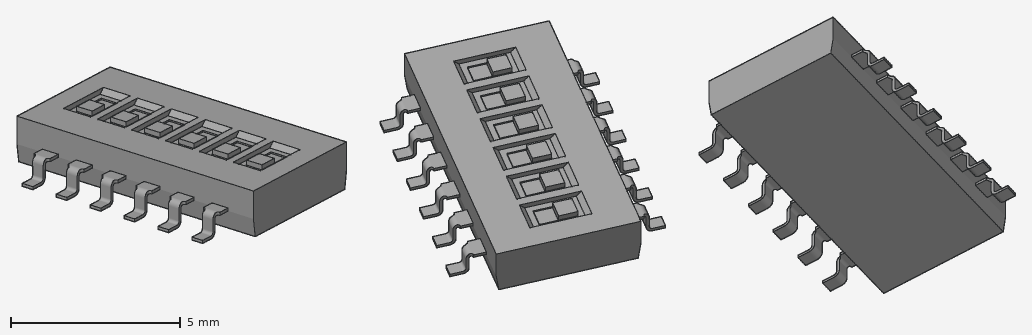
import cadquery as cq

body_length = 8.85
body_width = 4.5
body_bottom_width = 4.33
top_z = 1.6
bottom_z = 0.09
seam_z = 0.69

switch_count = 6
pitch = 1.27
switch_xs = [(i - (switch_count - 1) / 2) * pitch for i in range(switch_count)]

window_length_x = 1.0
window_top_y = 1.93
window_depth = 0.165
window_floor_y = window_top_y - 2 * window_depth

slot_length_x = 0.6
slot_length_y = 1.2
slot_depth = 0.05
actuator_side_gap = 0.01
actuator_height = window_depth

lead_span = 6.7
lead_thickness = 0.1
lead_width = 0.4
shoulder_width = 0.6
shoulder_end_y = 2.65
shoulder_corner_radius = (shoulder_width - lead_width) / 2
shoulder_top_z = 0.79
bend_inner_radius = 0.1
bend_outer_radius = bend_inner_radius + lead_thickness
lead_embed = 0.2

window_floor_z = top_z - window_depth
slot_floor_z = window_floor_z - slot_depth


def make_housing():
    """Block with vertical ends whose long sides draw in below the seam."""
    outline = [
        (-body_bottom_width / 2, bottom_z),
        (body_bottom_width / 2, bottom_z),
        (body_width / 2, seam_z),
        (body_width / 2, top_z),
        (-body_width / 2, top_z),
        (-body_width / 2, seam_z),
    ]
    return cq.Workplane("YZ").polyline(outline).close().extrude(body_length / 2, both=True)


def make_window_cutter(x):
    """Recess with upright sides and end walls sloping in to the floor."""
    outline = [
        (-window_floor_y / 2, window_floor_z),
        (window_floor_y / 2, window_floor_z),
        (window_top_y / 2, top_z),
        (-window_top_y / 2, top_z),
    ]
    cutter = cq.Workplane("YZ").polyline(outline).close().extrude(window_length_x / 2, both=True)
    return cutter.translate((x, 0, 0))


def make_slot_cutter(x):
    slot = cq.Workplane("XY").box(slot_length_x, slot_length_y, slot_depth, centered=(True, True, False))
    return slot.translate((x, 0, slot_floor_z))


def make_actuator(x):
    """Slider block filling the -Y half of its slot and standing above the window floor."""
    width = slot_length_x - 2 * actuator_side_gap
    length = slot_length_y / 2
    height = slot_depth + actuator_height
    block = cq.Workplane("XY").box(width, length, height, centered=(True, True, False))
    return block.translate((x, -length / 2, slot_floor_z))


def make_lead_strip():
    """Z-bent strip on the +Y side, as wide as the shoulder, before its plan trim."""
    start_y = body_width / 2 - lead_embed
    shank_outer_y = shoulder_end_y + bend_outer_radius
    shank_inner_y = shank_outer_y - lead_thickness
    toe_y = lead_span / 2
    shoulder_bottom_z = shoulder_top_z - lead_thickness
    upper_bend_z = shoulder_bottom_z - bend_inner_radius
    lower_bend_z = lead_thickness + bend_inner_radius
    foot_start_y = shank_outer_y + bend_inner_radius
    profile = (
        cq.Workplane("YZ")
        .moveTo(start_y, shoulder_top_z)
        .lineTo(shoulder_end_y, shoulder_top_z)
        .radiusArc((shank_outer_y, upper_bend_z), bend_outer_radius)
        .lineTo(shank_outer_y, lower_bend_z)
        .radiusArc((foot_start_y, lead_thickness), -bend_inner_radius)
        .lineTo(toe_y, lead_thickness)
        .lineTo(toe_y, 0)
        .lineTo(foot_start_y, 0)
        .radiusArc((shank_inner_y, lower_bend_z), bend_outer_radius)
        .lineTo(shank_inner_y, upper_bend_z)
        .radiusArc((shoulder_end_y, shoulder_bottom_z), -bend_inner_radius)
        .lineTo(start_y, shoulder_bottom_z)
        .close()
    )
    return profile.extrude(shoulder_width / 2, both=True)


def make_lead():
    """Strip trimmed to a wide shoulder and a narrow shank and foot, joined by fillets."""
    half_lead = lead_width / 2
    half_shoulder = shoulder_width / 2
    fillet_end_y = shoulder_end_y + shoulder_corner_radius
    plan = (
        cq.Workplane("XY")
        .moveTo(-half_shoulder, 0)
        .lineTo(half_shoulder, 0)
        .lineTo(half_shoulder, shoulder_end_y)
        .radiusArc((half_lead, fillet_end_y), shoulder_corner_radius)
        .lineTo(half_lead, lead_span)
        .lineTo(-half_lead, lead_span)
        .lineTo(-half_lead, fillet_end_y)
        .radiusArc((-half_shoulder, shoulder_end_y), shoulder_corner_radius)
        .close()
        .extrude(top_z)
    )
    return make_lead_strip().intersect(plan)


result = make_housing()
lead = make_lead()
for switch_x in switch_xs:
    result = result.cut(make_window_cutter(switch_x))
    result = result.cut(make_slot_cutter(switch_x))
    result = result.union(make_actuator(switch_x))
    for turn in (0, 180):
        result = result.union(lead.rotate((0, 0, 0), (0, 0, 1), turn).translate((switch_x, 0, 0)))